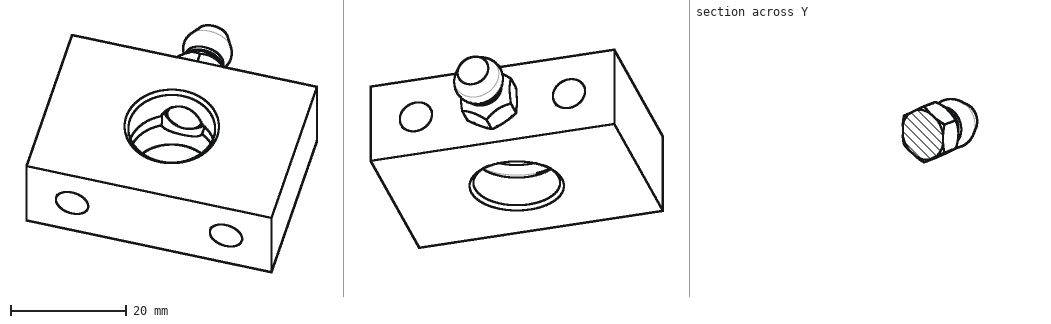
import cadquery as cq
import math

block_length = 44.05
block_depth = 30.25
block_height = 15.1
back_face = block_depth / 2

bore_radius = 7.55
bore_chamfer = 0.65
groove_radius = 1.3

mount_hole_diameter = 5.8
mount_hole_spacing = 27.68

shank_radius = 3.9
shank_chamfer = 0.8
shank_end = 8.37
shank_length = back_face - shank_end

hex_flats = 8.8
hex_corner_radius = hex_flats / 2 / math.cos(math.pi / 6)
hex_base_radius = 4.5
hex_base_chamfer = 0.35
hex_shoulder_height = 3.65
neck_lower_radius = 3.35
neck_lower_height = 5.7
neck_radius = 3.25
neck_height = 6.05
neck_upper_radius = 3.4
neck_upper_height = 6.6
ball_radius = 4.3
ball_height = 8.75
ball_top_radius = 4.0
ball_top_height = 9.8
tip_radius = 2.78
nipple_height = 12.08


def make_block():
    body = cq.Workplane("XY").box(block_length, block_depth, block_height)

    body = body.cut(cq.Workplane("XY").circle(bore_radius).extrude(block_height / 2, both=True))
    bore_rims = cq.selectors.RadiusNthSelector(0)
    body = body.faces("<Z or >Z").edges(bore_rims).chamfer(bore_chamfer)

    groove = (
        cq.Workplane("XZ").center(bore_radius, 0).circle(groove_radius)
        .revolve(360, (-bore_radius, 0), (-bore_radius, 1))
    )
    body = body.cut(groove)

    mount_holes = (
        cq.Workplane("XZ")
        .pushPoints([(-mount_hole_spacing / 2, 0), (mount_hole_spacing / 2, 0)])
        .circle(mount_hole_diameter / 2)
        .extrude(block_depth / 2, both=True)
    )
    body = body.cut(mount_holes)

    nipple_hole = cq.Workplane("XZ").circle(shank_radius).extrude(-back_face)
    return body.cut(nipple_hole)


def make_nipple():
    turned = (
        cq.Workplane("XY", origin=(0, back_face, 0))
        .moveTo(0, -shank_length)
        .lineTo(shank_radius - shank_chamfer, -shank_length)
        .lineTo(shank_radius, shank_chamfer - shank_length)
        .lineTo(shank_radius, 0)
        .lineTo(hex_base_radius, 0)
        .lineTo(hex_corner_radius, hex_base_chamfer)
        .lineTo(hex_corner_radius, hex_shoulder_height)
        .lineTo(neck_lower_radius, neck_lower_height)
        .lineTo(neck_radius, neck_height)
        .lineTo(neck_upper_radius, neck_upper_height)
        .threePointArc((ball_radius, ball_height), (ball_top_radius, ball_top_height))
        .lineTo(tip_radius, nipple_height)
        .lineTo(0, nipple_height)
        .close()
        .revolve(360, (0, 0), (0, 1))
    )

    hex_bar = (
        cq.Workplane("XZ", origin=(0, shank_end, 0))
        .transformed(rotate=(0, 0, 90))
        .polygon(6, 2 * hex_corner_radius)
        .extrude(-(shank_length + nipple_height))
    )
    return turned.intersect(hex_bar)


block = make_block()
nipple = make_nipple()

result = cq.Compound.makeCompound([block.val(), nipple.val()])